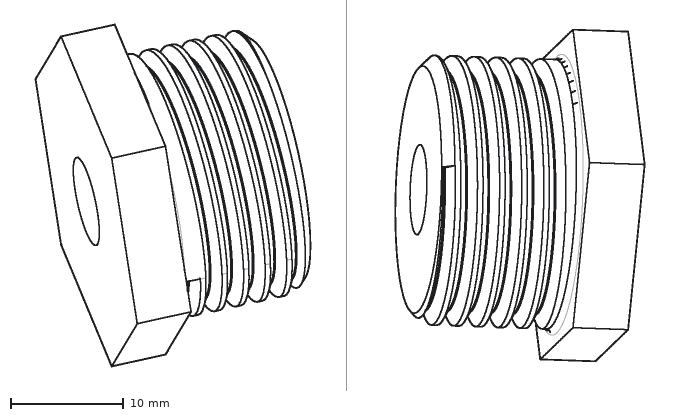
import cadquery as cq

head_across_corners = 31.27
head_across_flats = 27.0
head_flat_width = 15.57
head_length = 5.0

total_length = 17.5
shank_length = total_length - head_length
shank_diameter = 24.0
shank_radius = shank_diameter / 2
end_chamfer = 1.0
base_fillet = 0.5
bore_diameter = 8.0

thread_pitch = 2.0
thread_turns = 5.5
thread_start = 6.22
groove_depth = 1.22
groove_mouth = 1.5
groove_root = 0.13
cutter_overlap = 0.1


def make_head():
    """Hexagonal prism with two corners on the X axis."""
    corner = head_across_corners / 2
    flat = head_across_flats / 2
    half_width = head_flat_width / 2
    outline = [
        (corner, 0),
        (half_width, flat),
        (-half_width, flat),
        (-corner, 0),
        (-half_width, -flat),
        (half_width, -flat),
    ]
    return cq.Workplane("XY").polyline(outline).close().extrude(head_length)


def make_shank():
    """Plain round shank with a chamfered free end."""
    shank = cq.Workplane("XY").workplane(offset=head_length).circle(shank_radius).extrude(shank_length)
    return shank.faces(">Z").chamfer(end_chamfer)


def make_base_flare():
    """Ring with a concave quarter-round that blends the shank into the head."""
    return (
        cq.Workplane("XZ")
        .moveTo(0, head_length)
        .lineTo(shank_radius + base_fillet, head_length)
        .radiusArc((shank_radius, head_length + base_fillet), base_fillet)
        .lineTo(0, head_length + base_fillet)
        .close()
        .revolve(360, (0, 0), (0, 1))
    )


def make_thread_cutter():
    """V-shaped profile swept along the thread helix, starting on the +X side."""
    root_radius = shank_radius - groove_depth
    mouth_slope = (groove_mouth - groove_root) / 2 / groove_depth
    outer_half = groove_mouth / 2 + cutter_overlap * mouth_slope
    root_half = groove_root / 2
    outer_radius = shank_radius + cutter_overlap
    profile = [
        (root_radius, thread_start - root_half),
        (outer_radius, thread_start - outer_half),
        (outer_radius, thread_start + outer_half),
        (root_radius, thread_start + root_half),
    ]
    helix = cq.Wire.makeHelix(
        thread_pitch, thread_pitch * thread_turns, shank_radius, cq.Vector(0, 0, thread_start)
    )
    return cq.Workplane("XZ").polyline(profile).close().sweep(cq.Workplane(obj=helix), isFrenet=True)


plug = make_shank().cut(make_thread_cutter())
plug = plug.union(make_base_flare()).union(make_head())
plug = plug.cut(cq.Workplane("XY").circle(bore_diameter / 2).extrude(total_length))
result = plug.rotate((0, 0, 0), (1, 0, 0), -90)